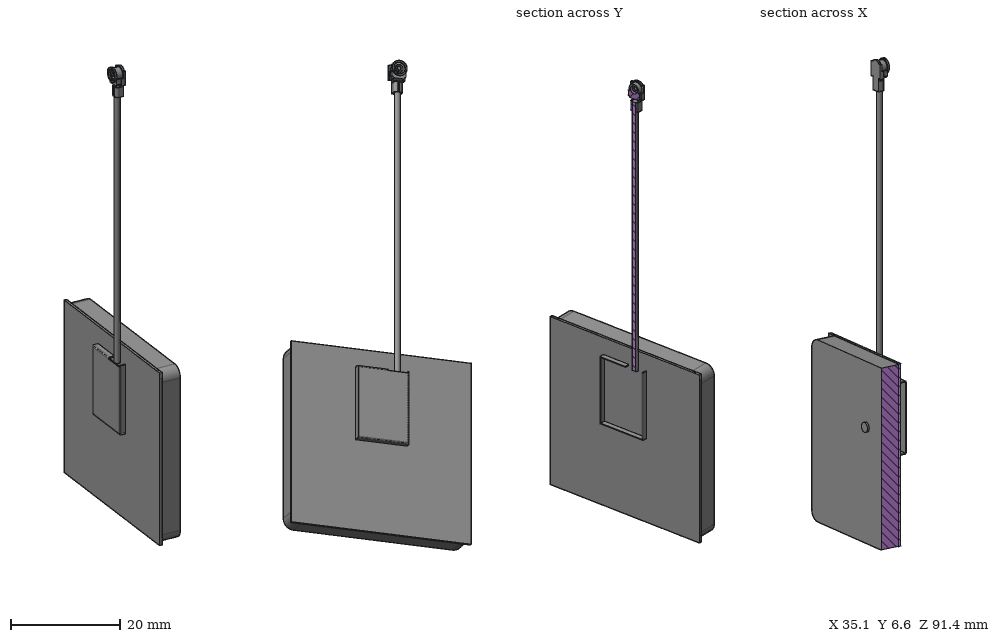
import cadquery as cq


board_side = 35.1
board_thickness = 0.55

patch_side = 35.0
patch_thickness = 3.85
patch_corner_radius = 2.0
bump_diameter = 1.9
bump_height = 0.4
bump_offset = 4.9

can_width = 10.1
can_length = 14.1
can_height = 1.25
can_sheet = 0.25
can_edge_radius = 0.3
can_center_x = 0.0
can_bottom_z = 17.45
can_cable_notch_width = 3.9
can_cable_notch_depth = 0.3

cable_diameter = 1.15
cable_x = 2.93

plug_top_z = 91.44
plug_front_y = -2.35
plug_depth = 2.1
plug_flange_radius = 1.44
plug_barrel_radius = 1.2
plug_back_sheet = 0.4
plug_front_flange = 0.4
plug_bore_radius = 0.75
plug_mouth_radius = 1.1
plug_mouth_depth = 0.3
plug_bore_depth = 1.4
plug_contact_radius = 0.35
plug_contact_length = 1.1
plug_width = 3.0
plug_wing_bottom_z = 88.05
plug_wing_top_z = 89.5
plug_wing_depth = 0.85
plug_block_width = 2.7
plug_block_chamfer = 0.4
plug_ear_top_z = 90.9
plug_block_setback = 0.35
crimp_width = 1.75
crimp_top_z = 87.5
crimp_bottom_z = 85.5
crimp_front_wall = 0.1
crimp_corner_radius = 0.6
crimp_seam = 0.2

board_front_y = -board_thickness
board_center_z = board_side / 2
can_top_z = can_bottom_z + can_length
can_notch_floor_z = can_top_z - can_cable_notch_depth
can_front_y = board_front_y - can_height
can_left_x = can_center_x - can_width / 2
can_right_x = can_center_x + can_width / 2
cable_y = board_front_y - cable_diameter / 2
cable_front_y = board_front_y - cable_diameter
plug_back_y = plug_front_y + plug_depth
plug_center_z = plug_top_z - plug_flange_radius


def block(x_range, y_range, z_range):
    """Box between the given limits along each axis."""
    limits = (x_range, y_range, z_range)
    sizes = [high - low for low, high in limits]
    return cq.Workplane("XY").box(*sizes, centered=False).translate([low for low, high in limits])


def disc(x, z, radius, y_low, y_high):
    """Cylinder along Y between two depths."""
    return (
        cq.Workplane("XZ", origin=(x, y_high, z))
        .circle(radius)
        .extrude(y_high - y_low)
    )


def centered_range(center, width):
    """Lower and upper limit of a width placed around a center."""
    return (center - width / 2, center + width / 2)


def make_board():
    side_range = centered_range(0, board_side)
    return block(side_range, (board_front_y, 0), (0, board_side))


def make_patch():
    patch = block(
        centered_range(0, patch_side),
        (0, patch_thickness),
        centered_range(board_center_z, patch_side),
    )
    patch = patch.edges("|Y").fillet(patch_corner_radius)
    bump = disc(
        0,
        board_center_z + bump_offset,
        bump_diameter / 2,
        patch_thickness,
        patch_thickness + bump_height,
    )
    return patch.union(bump)


def make_can():
    """Open-backed sheet cover with rounded front edges and a notch for the cable."""
    inner_right_x = can_right_x - can_sheet
    can = block((can_left_x, can_right_x), (can_front_y, board_front_y), (can_bottom_z, can_top_z))
    can = can.faces("<Y").edges().fillet(can_edge_radius)
    cavity = block(
        (can_left_x + can_sheet, inner_right_x),
        (can_front_y + can_sheet, board_front_y),
        (can_bottom_z + can_sheet, can_top_z - can_sheet),
    )
    cable_notch = block(
        (inner_right_x - can_cable_notch_width, inner_right_x),
        (can_front_y, board_front_y),
        (can_notch_floor_z, can_top_z),
    )
    return can.cut(cavity).cut(cable_notch)


def make_cable():
    return (
        cq.Workplane("XY", origin=(cable_x, cable_y, can_notch_floor_z))
        .circle(cable_diameter / 2)
        .extrude(crimp_top_z - can_notch_floor_z)
    )


def make_plug_head():
    """Round snap head with two flanges, side wings, a stepped bore and a center contact."""
    sheet_front_y = plug_back_y - plug_back_sheet
    width_range = centered_range(cable_x, plug_width)
    center = (cable_x, plug_center_z)
    back_flange = disc(*center, plug_flange_radius, sheet_front_y, plug_back_y)
    barrel = disc(*center, plug_barrel_radius, plug_front_y, plug_back_y)
    front_flange = disc(*center, plug_flange_radius, plug_front_y, plug_front_y + plug_front_flange)
    ears = block(width_range, (sheet_front_y, plug_back_y), (plug_wing_bottom_z, plug_ear_top_z))
    wings = block(
        width_range,
        (plug_back_y - plug_wing_depth, plug_back_y),
        (plug_wing_bottom_z, plug_wing_top_z),
    )
    front_block = block(
        centered_range(cable_x, plug_block_width),
        (plug_front_y + plug_block_setback, sheet_front_y),
        (plug_wing_bottom_z, plug_wing_top_z),
    )
    front_block = front_block.edges("|Y and <Z").chamfer(plug_block_chamfer)
    bore = disc(*center, plug_bore_radius, plug_front_y, plug_front_y + plug_bore_depth)
    mouth = disc(*center, plug_mouth_radius, plug_front_y, plug_front_y + plug_mouth_depth)
    bore_floor_y = plug_front_y + plug_bore_depth
    contact = disc(*center, plug_contact_radius, bore_floor_y - plug_contact_length, bore_floor_y)
    head = back_flange.union(barrel).union(front_flange).union(ears).union(wings).union(front_block)
    return head.cut(bore).cut(mouth).union(contact)


def make_crimp():
    """Sleeve folded around the cable, with an open seam along its front."""
    crimp_front_y = cable_front_y - crimp_front_wall
    z_range = (crimp_bottom_z, crimp_top_z)
    sleeve = block(centered_range(cable_x, crimp_width), (crimp_front_y, plug_back_y), z_range)
    sleeve = sleeve.edges("|Z and <Y").fillet(crimp_corner_radius)
    seam = block(centered_range(cable_x, crimp_seam), (crimp_front_y, cable_y), z_range)
    return sleeve.cut(seam)


def make_plug(cable):
    neck = block(
        centered_range(cable_x, crimp_width),
        (plug_back_y - plug_back_sheet, plug_back_y),
        (crimp_top_z, plug_wing_bottom_z),
    )
    return make_plug_head().union(neck).union(make_crimp()).cut(cable)


board = make_board()
patch = make_patch()
can = make_can()
cable = make_cable()
plug = make_plug(cable)

result = cq.Compound.makeCompound([board.val(), patch.val(), can.val(), cable.val(), plug.val()])